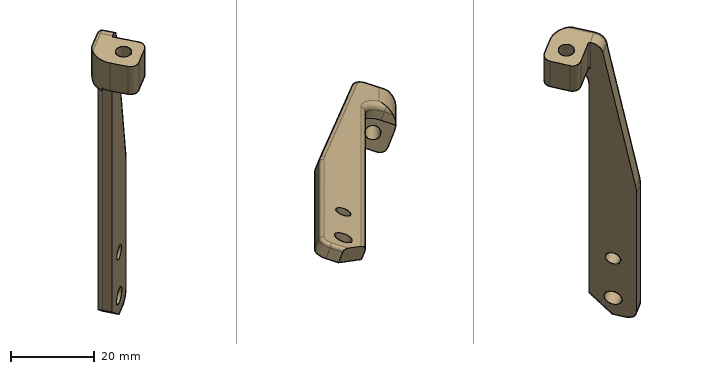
import cadquery as cq
import math

height = 95.4
depth = 21.2
width = 12.7

thickness = 4.0
plate_front = 9.2
slant_start = 46.2
slant_top_y = 12.2
corner_cut_top = 5.9
corner_cut_y = plate_front + corner_cut_top
back_bottom_radius = 2.9
back_top_radius = 3.2
bend_radius = 12.4
back_rounding = 1.0
front_rounding = 1.6

head_bottom = 86.3
arm_bottom = 85.5
arm_fillet = 5.0
head_outer_radius = 6.1
head_corner_radius = 2.1
inner_corner_fillet = 0.5

small_hole = 3.8
large_hole = 4.5
plate_hole_y = 15.3
large_hole_z = 5.9
small_hole_z = 20.0
head_hole_x = 8.1
head_hole_y = 4.8


def make_plate():
    """Upright plate with a slanted back, an arm reaching forward and rounded outer edges."""
    plate = (
        cq.Workplane("YZ")
        .moveTo(corner_cut_y, 0)
        .lineTo(depth, 0)
        .lineTo(depth, slant_start)
        .lineTo(slant_top_y, height)
        .lineTo(0, height)
        .lineTo(0, arm_bottom)
        .lineTo(plate_front, arm_bottom)
        .lineTo(plate_front, corner_cut_top)
        .close()
        .extrude(thickness)
    )
    corners = [
        (depth, 0, back_bottom_radius),
        (depth, slant_start, bend_radius),
        (slant_top_y, height, back_top_radius),
        (plate_front, arm_bottom, arm_fillet),
    ]
    for y, z, radius in corners:
        middle = (thickness / 2, y, z)
        plate = plate.edges(cq.selectors.NearestToPointSelector(middle)).fillet(radius)

    back_middle_z = (back_bottom_radius + slant_start) / 2
    plate = plate.edges(cq.selectors.NearestToPointSelector((0, depth, back_middle_z))).fillet(back_rounding)
    front_middle_z = (corner_cut_top + arm_bottom - arm_fillet) / 2
    plate = plate.edges(cq.selectors.NearestToPointSelector((0, plate_front, front_middle_z))).fillet(
        front_rounding
    )
    return plate


def make_head():
    """Block beside the plate with two rounded vertical corners."""
    return (
        cq.Workplane("XY", origin=(0, 0, head_bottom))
        .moveTo(thickness, 0)
        .lineTo(width, 0)
        .lineTo(width, plate_front)
        .lineTo(thickness, plate_front)
        .close()
        .extrude(height - head_bottom)
        .edges("|Z and >X")
        .fillet(head_corner_radius)
    )


def make_envelope():
    """Full-height block that rounds the outer front corner of the plate and head."""
    return (
        cq.Workplane("XY")
        .box(width, depth, height, centered=False)
        .edges("|Z and <X and <Y")
        .fillet(head_outer_radius)
    )


def make_inner_corner():
    """Concave fillet strip between the plate and the back of the head."""
    offset = inner_corner_fillet
    center_x = thickness + offset
    center_y = plate_front + offset
    diagonal = offset * math.sqrt(0.5)
    return (
        cq.Workplane("XY", origin=(0, 0, head_bottom))
        .moveTo(thickness, plate_front)
        .lineTo(center_x, plate_front)
        .threePointArc((center_x - diagonal, center_y - diagonal), (thickness, center_y))
        .close()
        .extrude(height - head_bottom)
    )


def plate_hole(diameter, z):
    """Cutter for a hole through the plate along X."""
    return cq.Workplane("YZ").center(plate_hole_y, z).circle(diameter / 2).extrude(thickness)


head_hole = cq.Workplane("XY").center(head_hole_x, head_hole_y).circle(small_hole / 2).extrude(height)

result = (
    make_plate()
    .union(make_head())
    .union(make_inner_corner())
    .intersect(make_envelope())
    .cut(head_hole)
    .cut(plate_hole(large_hole, large_hole_z))
    .cut(plate_hole(small_hole, small_hole_z))
)